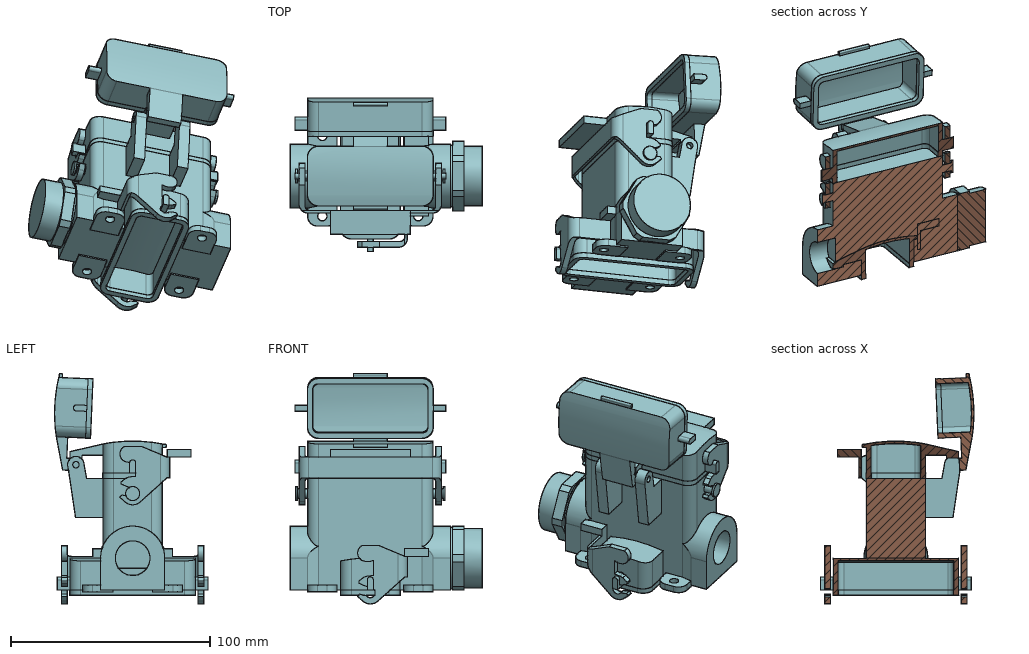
import cadquery as cq
import math

body_length = 62.9
body_width = 29.8
corner_radius = 5.4

housing_height = 56.1
tunnel_end = 40.2
tunnel_radius = 16.1
conduit_diameter = 17.3
conduit_depth = 10.2
foot_length = 14.8
foot_reach = 25.1
foot_inner = 9.8
foot_bottom = -0.8
foot_top = 2.5
foot_corner = 5.0
foot_hole_diameter = 4.5
rivet_height = 48.5
rivet_diameter = 4.9
rivet_head_diameter = 7.0
rivet_embed = 1.2
rivet_head_start = 36.4
rivet_head_end = 37.5

hinge_y = 28.5
hinge_z = 62.9
ear_radius = 4.2
ear_inner = 8.6
ear_outer = 14.1
ear_foot_y = 28.7
ear_foot_z = 36.4
ear_step_y = 23.0
ear_step_z = housing_height
hinge_hole_diameter = 3.2
hinge_hole_depth = 2.8

cover_height = 18.7
cover_edge_height = 17.2
cover_wall = 2.5
roof_thickness = 1.4
rim_height = 2.5
rim_step = 0.1
pocket_corner = 2.9
arm_width = 2 * ear_inner
arm_end_y = 31.5
arm_end_top = 13.4
arm_underside = 11.5
arm_lip_y = 25.3
arm_lip_depth = 1.3
tab_reach = 2.1
tab_bottom = 15.4
tab_thickness = 1.7
peg_end = 37.8
peg_diameter = 3.0
peg_bottom = 2.5
peg_top = 9.3
open_angle = -87.6

lever_outer = 35.7
lever_plate = 3.0
strap_thickness = 1.4
strap_reach = 18.6
lever_bend = 4.6
lever_inner_bend = 2.3
strap_bottom = 7.9
strap_top = 18.3
lever_top = 23.6
lever_hook_radius = 5.7
lobe_back = 4.2
lobe_crest = 6.4
lobe_middle = 19.9
lobe_bottom = 16.2
lobe_dip = (1.4, 15.6)
slope_start = -4.5
hook_tip = [(6.5, -1.9), (5.4, -0.7), (3.5, -1.2)]
hook_mouth = 1.4
beak = [(1.5, 3.1), (3.7, 3.8), (5.8, 4.9), (5.8, 5.8), (3.4, 7.7), (1.7, 8.3)]
beak_top = 8.7
lever_back = 6.9
handle_length = 40.1
handle_depth = 12.0
handle_height = 3.8

quarter_turn = 90
lower_cover_z = -2.5
lower_pivot_z = -1.3

gland_collar_diameter = 31.0
gland_collar_length = 1.0
gland_nut_length = 5.7
gland_nut_flats = 32.2
gland_nut_corner_flats = 35.0
hex_half_step = 30
gland_tube_diameter = 30.0
gland_tube_end = 56.2

sides = (-1, 1)


def x_cylinder(diameter, start, end, y, z):
    """Cylinder along X from start to end."""
    return cq.Workplane("YZ", origin=(start, y, z)).circle(diameter / 2).extrude(end - start)


def x_prism(points, start, end):
    """Polygon of (y, z) points swept along X from start to end."""
    return cq.Workplane("YZ", origin=(start, 0, 0)).polyline(points).close().extrude(end - start)


def rounded_block(length, width, height, radius):
    """Upright block on Z = 0 with rounded vertical edges."""
    return cq.Workplane("XY").rect(length, width).extrude(height).edges("|Z").fillet(radius)


def arched_block(inset, drop, radius):
    """Cover block drawn in by inset on its sides, under an arched top lowered by drop."""
    half_width = body_width / 2
    block = rounded_block(body_length - 2 * inset, body_width - 2 * inset, cover_height, radius)
    arch = (
        cq.Workplane("YZ")
        .moveTo(-half_width, 0)
        .lineTo(half_width, 0)
        .lineTo(half_width, cover_edge_height - drop)
        .threePointArc((0, cover_height - drop), (-half_width, cover_edge_height - drop))
        .close()
        .extrude(body_length / 2, both=True)
    )
    return block.intersect(arch)


def cover_arm():
    """Tapering hinge arm with a lip under its end."""
    root = body_width / 2 - cover_wall / 2
    points = [
        (root, arm_underside),
        (root, cover_edge_height - tab_thickness),
        (body_width / 2, cover_edge_height),
        (arm_end_y, arm_end_top),
        (arm_end_y, arm_underside - arm_lip_depth),
        (arm_lip_y, arm_underside - arm_lip_depth),
        (arm_lip_y, arm_underside),
    ]
    return x_prism(points, -arm_width / 2, arm_width / 2)


def cover_tab():
    """Thin tab on the front with a fully rounded edge."""
    round_radius = tab_thickness / 2
    root_y = -body_width / 2
    round_y = root_y - tab_reach + round_radius
    plate = x_prism(
        [
            (root_y, tab_bottom),
            (root_y, tab_bottom + tab_thickness),
            (round_y, tab_bottom + tab_thickness),
            (round_y, tab_bottom),
        ],
        -arm_width / 2,
        arm_width / 2,
    )
    edge_z = tab_bottom + round_radius
    return plate.union(x_cylinder(tab_thickness, -arm_width / 2, arm_width / 2, round_y, edge_z))


def cover_pegs():
    """Round-topped locking peg on each end."""
    pegs = cq.Workplane("XY")
    peg_round_z = peg_top - peg_diameter / 2
    half_width = peg_diameter / 2
    stem_points = [
        (-half_width, peg_bottom),
        (half_width, peg_bottom),
        (half_width, peg_round_z),
        (-half_width, peg_round_z),
    ]
    for side in sides:
        start, end = sorted((side * body_length / 2, side * peg_end))
        stem = x_prism(stem_points, start, end)
        pegs = pegs.add(stem.union(x_cylinder(peg_diameter, start, end, 0, peg_round_z)))
    return pegs.combine()


def solid_cover():
    """Cover without its pocket, standing on its rim at Z = 0."""
    rim_length = body_length + 2 * rim_step
    rim_width = body_width + 2 * rim_step
    rim = rounded_block(rim_length, rim_width, rim_height, corner_radius + rim_step)
    cover = arched_block(0, 0, corner_radius).union(rim)
    return cover.union(cover_arm()).union(cover_tab()).union(cover_pegs())


def hollow_cover():
    """Cover with its pocket, which is slightly narrower inside the rim band."""
    pocket = arched_block(cover_wall, roof_thickness, pocket_corner)
    mouth_inset = cover_wall + rim_step
    mouth = rounded_block(
        body_length - 2 * mouth_inset, body_width - 2 * mouth_inset, rim_height, pocket_corner - rim_step
    )
    above_rim = cq.Workplane("XY", origin=(0, 0, rim_height)).rect(body_length, body_width)
    above_rim = above_rim.extrude(cover_height)
    return solid_cover().cut(pocket.intersect(above_rim)).cut(mouth)


def at_lower_place(shape, height):
    """Quarter turn about Z, then move to the height of the lower position."""
    return shape.rotate((0, 0, 0), (0, 0, 1), quarter_turn).translate((0, 0, height))


def lever_plan():
    """Bent U of two side plates and a thinner strap, as a tall blank."""
    inner = lever_outer - lever_plate
    strap_inside = strap_reach - strap_thickness
    blank_length = lever_back + strap_reach
    outer_block = cq.Workplane("XY").box(2 * lever_outer, blank_length, 2 * lever_top)
    outer_block = outer_block.translate((0, lever_back - blank_length / 2, lever_top / 2))
    outer_block = outer_block.faces("<Y").edges("|Z").fillet(lever_bend)
    gap_length = lever_back + strap_inside
    gap = cq.Workplane("XY").box(2 * inner, gap_length, 2 * lever_top)
    gap = gap.translate((0, lever_back - gap_length / 2, lever_top / 2))
    gap = gap.faces("<Y").edges("|Z").fillet(lever_inner_bend)
    return outer_block.cut(gap)


def lever_side():
    """Side outline: lobe, strap edge, hook round the pivot, beak and peg slot."""
    pivot_radius = rivet_diameter / 2
    hook_diagonal = lever_hook_radius * math.sqrt(0.5)
    strap_inside = strap_reach - strap_thickness
    slot_edge = -peg_diameter / 2
    mouth_depth = math.sqrt(pivot_radius**2 - hook_mouth**2)
    outline = (
        cq.Workplane("YZ", origin=(-lever_outer, 0, 0))
        .moveTo(lobe_back, lever_top)
        .lineTo(slope_start, lever_top)
        .lineTo(-strap_inside, strap_top)
        .lineTo(-strap_reach, strap_top)
        .lineTo(-strap_reach, strap_bottom)
        .lineTo(-strap_inside, strap_bottom)
        .lineTo(-hook_diagonal, -hook_diagonal)
        .threePointArc((0, -lever_hook_radius), (hook_diagonal, -hook_diagonal))
    )
    for point in hook_tip:
        outline = outline.lineTo(*point)
    outline = outline.lineTo(mouth_depth, -hook_mouth)
    outline = outline.threePointArc((-pivot_radius, 0), (hook_mouth, mouth_depth))
    for point in beak:
        outline = outline.lineTo(*point)
    return (
        outline
        .lineTo(slot_edge, beak_top)
        .lineTo(slot_edge, lobe_bottom)
        .threePointArc(lobe_dip, (lobe_back, lobe_bottom))
        .threePointArc((lobe_crest, lobe_middle), (lobe_back, lever_top))
        .close()
        .extrude(2 * lever_outer)
    )


def lever_blank():
    """Lever with its pivot axis along X through the origin and its handle on the -Y side."""
    strap_inside = strap_reach - strap_thickness
    handle = cq.Workplane("XY").box(handle_length, handle_depth, handle_height)
    handle = handle.translate((0, -strap_inside - handle_depth / 2, strap_top + handle_height / 2))
    return lever_plan().intersect(lever_side()).union(handle)


def tunnel():
    """Round-topped conduit tunnel whose sides run in to meet the rounded body corners."""
    half_width = body_width / 2
    corner_start = body_length / 2 - corner_radius
    profile = (
        cq.Workplane("YZ", origin=(-tunnel_end, 0, 0))
        .moveTo(-tunnel_radius, 0)
        .lineTo(tunnel_radius, 0)
        .lineTo(tunnel_radius, tunnel_radius)
        .threePointArc((0, 2 * tunnel_radius), (-tunnel_radius, tunnel_radius))
        .close()
        .extrude(2 * tunnel_end)
    )
    waist = cq.Workplane("XY")
    for side in sides:
        notch = (
            cq.Workplane("XY")
            .polyline([
                (-body_length / 2, side * tunnel_radius),
                (-corner_start, side * half_width),
                (corner_start, side * half_width),
                (body_length / 2, side * tunnel_radius),
            ])
            .close()
            .extrude(2 * tunnel_radius)
        )
        waist = waist.add(notch)
    return profile.cut(waist.combine())


def foot(x_side, y_side):
    """Mounting foot with two rounded outer corners and a screw hole."""
    depth = foot_reach - foot_inner
    hole_y = foot_reach - foot_corner
    plate = (
        cq.Workplane("XY")
        .box(foot_length, depth, foot_top - foot_bottom, centered=(True, False, False))
        .faces(">Y")
        .edges("|Z")
        .fillet(foot_corner)
        .translate((0, foot_inner, foot_bottom))
    )
    hole = cq.Workplane("XY", origin=(0, hole_y, foot_bottom)).circle(foot_hole_diameter / 2)
    plate = plate.cut(hole.extrude(foot_top - foot_bottom))
    if y_side < 0:
        plate = plate.mirror("XZ")
    return plate.translate((x_side * (body_length - foot_length) / 2, 0, 0))


def hinge_ear(side):
    """Bracket plate with a rounded eye and a blind pivot hole in its outer face."""
    root = body_width / 2 - corner_radius
    start, end = sorted((side * ear_inner, side * ear_outer))
    plate = x_prism(
        [
            (root, ear_foot_z),
            (ear_foot_y, ear_foot_z),
            (hinge_y + ear_radius, hinge_z),
            (hinge_y - ear_radius, hinge_z),
            (ear_step_y, ear_step_z),
            (root, ear_step_z),
        ],
        start,
        end,
    )
    plate = plate.union(x_cylinder(2 * ear_radius, start, end, hinge_y, hinge_z))
    hole_ends = sorted((side * (ear_outer - hinge_hole_depth), side * ear_outer))
    return plate.cut(x_cylinder(hinge_hole_diameter, *hole_ends, hinge_y, hinge_z))


def rivet(side):
    """Headed pivot for the lever."""
    shaft_ends = sorted((side * (body_length / 2 - rivet_embed), side * rivet_head_end))
    head_ends = sorted((side * rivet_head_start, side * rivet_head_end))
    shaft = x_cylinder(rivet_diameter, *shaft_ends, 0, rivet_height)
    return shaft.union(x_cylinder(rivet_head_diameter, *head_ends, 0, rivet_height))


def housing_body():
    """Housing with tunnel, ears, rivets, feet and the blind conduit hole on the -X end."""
    body = rounded_block(body_length, body_width, housing_height, corner_radius)
    body = body.union(tunnel())
    for side in sides:
        body = body.union(hinge_ear(side)).union(rivet(side))
        for y_side in sides:
            body = body.union(foot(side, y_side))
    conduit = x_cylinder(conduit_diameter, -tunnel_end, conduit_depth - tunnel_end, 0, tunnel_radius)
    return body.cut(conduit)


def cable_gland():
    """Collar, hexagon nut with flattened corners, and tube."""
    nut_start = tunnel_end + gland_collar_length
    nut_end = nut_start + gland_nut_length
    corners_per_flats = 2 / math.sqrt(3)
    plane = cq.Workplane("YZ", origin=(nut_start, 0, tunnel_radius))
    nut = plane.polygon(6, gland_nut_flats * corners_per_flats).extrude(gland_nut_length)
    corner_cut = plane.polygon(6, gland_nut_corner_flats * corners_per_flats).extrude(gland_nut_length)
    corner_cut = corner_cut.rotate((0, 0, tunnel_radius), (1, 0, tunnel_radius), hex_half_step)
    nut = nut.intersect(corner_cut)
    collar = x_cylinder(gland_collar_diameter, tunnel_end, nut_start, 0, tunnel_radius)
    tube = x_cylinder(gland_tube_diameter, nut_end, gland_tube_end, 0, tunnel_radius)
    return collar.union(nut).union(tube)


closed_cover = hollow_cover().translate((0, 0, housing_height))
open_cover = closed_cover.rotate((0, hinge_y, hinge_z), (1, hinge_y, hinge_z), open_angle)
lower_cover = at_lower_place(hollow_cover(), lower_cover_z)

upper_lever = lever_blank().translate((0, 0, rivet_height))
upper_lever = upper_lever.cut(cover_pegs().translate((0, 0, housing_height)))
lower_lever = at_lower_place(lever_blank(), lower_pivot_z)
lower_lever = lower_lever.cut(at_lower_place(cover_pegs(), lower_cover_z))

housing = housing_body().cut(at_lower_place(solid_cover(), lower_cover_z)).cut(lower_lever)
gland = cable_gland()

result = cq.Compound.makeCompound([
    housing.solids().val(),
    gland.solids().val(),
    closed_cover.solids().val(),
    open_cover.solids().val(),
    lower_cover.solids().val(),
    upper_lever.solids().val(),
    lower_lever.solids().val(),
])